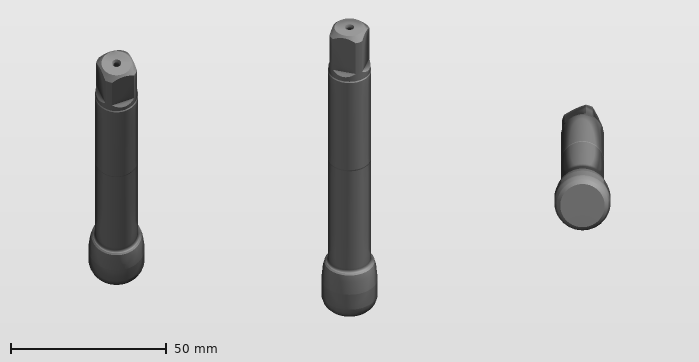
import cadquery as cq
import math

total_length = 110.0

head_diameter = 18.2
head_top_diameter = 16.2
head_shoulder_diameter = 16.5
head_bottom_diameter = 14.3
head_chamfer_height = 1.2
head_band_bottom = 4.2
head_band_top = 10.1
head_height = 17.5
head_rim_drop = 0.4

foot_diameter = 15.2
foot_height = 0.9
shank_diameter = 13.8
grip_diameter = 14.0
grip_bottom = 58.2
grip_top = 93.2
grip_bottom_chamfer = 0.5
grip_top_chamfer = 0.3
neck_diameter = 13.4
square_width = 11.0
square_bottom = 96.0
tip_diameter = 9.7
tip_chamfer_height = 1.8

pilot_diameter = 2.0
pilot_depth = 3.0
countersink_diameter = 3.0
countersink_angle = 60.0
drill_point_angle = 120.0


def cone_height(large_diameter, small_diameter, included_angle):
    """Height over which a cone narrows between two diameters."""
    return (large_diameter - small_diameter) / 2 / math.tan(math.radians(included_angle / 2))


def make_head():
    """Revolved knob whose curved ends run tangent into a cylindrical band."""
    radius = head_diameter / 2
    upper_curve = (
        cq.Workplane("XZ")
        .moveTo(0, head_band_bottom)
        .lineTo(radius, head_band_bottom)
        .lineTo(radius, head_band_top)
        .tangentArcPoint((head_top_diameter / 2, head_height - head_rim_drop), relative=False)
        .lineTo(foot_diameter / 2, head_height)
        .lineTo(0, head_height)
        .close()
        .revolve()
    )
    lower_curve = (
        cq.Workplane("XZ")
        .moveTo(0, head_band_top)
        .lineTo(radius, head_band_top)
        .lineTo(radius, head_band_bottom)
        .tangentArcPoint((head_shoulder_diameter / 2, head_chamfer_height), relative=False)
        .lineTo(head_bottom_diameter / 2, 0)
        .lineTo(0, 0)
        .close()
        .revolve()
    )
    return upper_curve.union(lower_curve).clean()


def make_stem_blank():
    """Round stem standing on the head, before the flats and hole are cut."""
    foot_top = head_height + foot_height
    return (
        cq.Workplane("XZ")
        .moveTo(0, total_length)
        .lineTo(tip_diameter / 2, total_length)
        .lineTo(neck_diameter / 2, total_length - tip_chamfer_height)
        .lineTo(neck_diameter / 2, grip_top)
        .lineTo(grip_diameter / 2, grip_top - grip_top_chamfer)
        .lineTo(grip_diameter / 2, grip_bottom)
        .lineTo(shank_diameter / 2, grip_bottom - grip_bottom_chamfer)
        .lineTo(shank_diameter / 2, foot_top)
        .tangentArcPoint((foot_diameter / 2, head_height), relative=False)
        .lineTo(0, head_height)
        .close()
        .revolve()
    )


def make_flat_cutter():
    """Block that leaves one flat, with a 45 degree run-out at its lower end."""
    inner = square_width / 2
    outer = grip_diameter / 2
    runout = outer - inner
    return (
        cq.Workplane("XZ")
        .moveTo(inner, square_bottom)
        .lineTo(outer, square_bottom - runout)
        .lineTo(outer, total_length)
        .lineTo(inner, total_length)
        .close()
        .extrude(grip_diameter / 2, both=True)
    )


def make_center_hole():
    """Countersunk pilot hole with a conical drill point."""
    countersink_depth = cone_height(countersink_diameter, pilot_diameter, countersink_angle)
    point_depth = cone_height(pilot_diameter, 0, drill_point_angle)
    pilot_bottom = total_length - pilot_depth
    return (
        cq.Workplane("XZ")
        .moveTo(0, total_length)
        .lineTo(countersink_diameter / 2, total_length)
        .lineTo(pilot_diameter / 2, total_length - countersink_depth)
        .lineTo(pilot_diameter / 2, pilot_bottom)
        .lineTo(0, pilot_bottom - point_depth)
        .close()
        .revolve()
    )


def make_stem():
    """Stem with four flats forming the square drive and a center hole."""
    stem = make_stem_blank()
    flat_cutter = make_flat_cutter()
    for angle in (0, 90, 180, 270):
        stem = stem.cut(flat_cutter.rotate((0, 0, 0), (0, 0, 1), angle))
    return stem.cut(make_center_hole())


head = make_head()
stem = make_stem()
result = cq.Compound.makeCompound([*head.solids().vals(), *stem.solids().vals()])